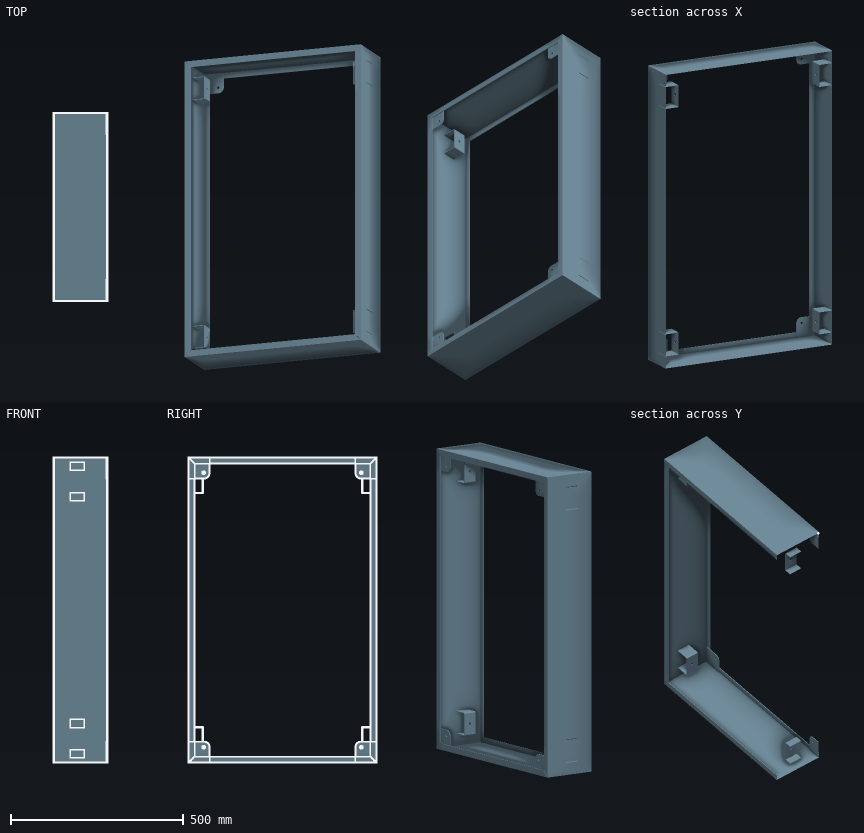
import cadquery as cq

depth = 157.0
width = 548.0
height = 888.0

sheet = 2.0
flange = 19.0
mitre_gap = 0.35

bracket_width = 41.0
bracket_front = 49.0
bracket_drop = 36.0
bracket_length = 68.0
bracket_reach = 43.5
foot_length = 24.0
inner_bend = 1.0
outer_bend = inner_bend + sheet
bracket_hole = 9.0

tab_size = 62.0
tab_corner_radius = 16.0
tab_hole = 7.0
tab_hole_inset = 45.0

half_width = width / 2
half_height = height / 2
inner_width = half_width - sheet
inner_height = half_height - sheet
opening_width = half_width - flange
opening_height = half_height - flange
bracket_back = bracket_front + bracket_width
bracket_middle = half_height - bracket_drop - bracket_length / 2
leg_inside = bracket_length / 2 - sheet
toe = leg_inside + foot_length
flange_fronts = (0, depth - sheet)
signs = (-1, 1)
corners = [(y_sign, z_sign) for y_sign in signs for z_sign in signs]


def block(x_limits, y_limits, z_limits):
    """Box between two limits, in either order, on each axis."""
    limits = [sorted(pair) for pair in (x_limits, y_limits, z_limits)]
    size = [high - low for low, high in limits]
    corner = tuple(low for low, high in limits)
    return cq.Workplane("XY").box(*size, centered=False).translate(corner)


def prism(points, x_start, length):
    """Polygon of (y, z) points extruded along +X."""
    return cq.Workplane("YZ", origin=(x_start, 0, 0)).polyline(points).close().extrude(length)


def at_corner(body, y_sign, z_sign):
    """Copy of a body from the +Y +Z corner, mirrored to the chosen corner."""
    if y_sign < 0:
        body = body.mirror("XZ")
    if z_sign < 0:
        body = body.mirror("XY")
    return body


def make_side_wall():
    """Full-height +Y wall with a mitred flange at its front and rear."""
    wall = block((0, depth), (inner_width, half_width), (-half_height, half_height))
    flange_points = [
        (inner_width, inner_height),
        (opening_width, opening_height),
        (opening_width, -opening_height),
        (inner_width, -inner_height),
    ]
    for x in flange_fronts:
        wall = wall.union(prism(flange_points, x, sheet))
    return wall


def make_top_wall():
    """Top wall between the side walls, with a mitred flange at its front and rear."""
    wall = block((0, depth), (-inner_width, inner_width), (inner_height, half_height))
    flange_points = [
        (-inner_width, inner_height),
        (inner_width, inner_height),
        (opening_width, opening_height),
        (-opening_width, opening_height),
    ]
    for x in flange_fronts:
        wall = wall.union(prism(flange_points, x, sheet))
    return wall


def make_mitre_slits():
    """Narrow diagonal slits that part the flanges at the +Y +Z corner."""
    slit_points = [
        (inner_width, inner_height - mitre_gap),
        (inner_width, inner_height),
        (inner_width - mitre_gap, inner_height),
        (opening_width - mitre_gap, opening_height),
        (opening_width - mitre_gap, opening_height - mitre_gap),
        (opening_width, opening_height - mitre_gap),
    ]
    front_slit, rear_slit = [prism(slit_points, x, sheet) for x in flange_fronts]
    return front_slit.add(rear_slit).combine()


def make_foot_slots():
    """The two slots in the +Y wall for the bracket at the +Y +Z corner."""
    slots = cq.Workplane("XY")
    for direction in signs:
        z_limits = (bracket_middle + direction * leg_inside, bracket_middle + direction * toe)
        slots.add(block((bracket_front, bracket_back), (inner_width, half_width), z_limits))
    return slots.combine()


def make_u_frame():
    """Folded sheet: both side walls and the bottom wall."""
    side = make_side_wall()
    frame = side.union(side.mirror("XZ")).union(make_top_wall().mirror("XY"))
    slits = make_mitre_slits()
    slots = make_foot_slots()
    for y_sign in signs:
        frame = frame.cut(at_corner(slits, y_sign, -1))
    for y_sign, z_sign in corners:
        frame = frame.cut(at_corner(slots, y_sign, z_sign))
    return frame


def round_bends(body, places, radius):
    """Fillet the edges along X that pass through the given (y, z) places, above and below."""
    reach = sheet / 4
    for y, z in places:
        for z_sign in signs:
            low = (bracket_front, y - reach, z_sign * z - reach)
            high = (bracket_back, y + reach, z_sign * z + reach)
            body = body.edges("|X").edges(cq.selectors.BoxSelector(low, high)).fillet(radius)
    return body


def make_bracket():
    """Hat section at the +Y +Z corner: web, two legs and two outward feet."""
    web = half_width - bracket_reach
    web_inside = web + sheet
    leg_outside = leg_inside + sheet
    upper_half = [
        (web, leg_outside),
        (inner_width, leg_outside),
        (inner_width, toe),
        (half_width, toe),
        (half_width, leg_inside),
        (web_inside, leg_inside),
    ]
    lower_half = [(y, -z) for y, z in reversed(upper_half)]
    bracket = prism(upper_half + lower_half, bracket_front, bracket_width)
    bracket = round_bends(bracket, [(web, leg_outside), (half_width, leg_inside)], outer_bend)
    bracket = round_bends(bracket, [(web_inside, leg_inside), (inner_width, leg_outside)], inner_bend)
    hole_start = (bracket_front + bracket_width / 2, web_inside, 0)
    hole = cq.Workplane("XZ", origin=hole_start).circle(bracket_hole / 2).extrude(sheet)
    return bracket.cut(hole).translate((0, 0, bracket_middle))


def make_tab():
    """Plate against the rear flanges at the +Y +Z corner, with one rounded corner and a hole."""
    back = depth - sheet
    front = back - sheet
    y_limits = (half_width - tab_size, inner_width)
    z_limits = (half_height - tab_size, inner_height)
    plate = block((front, back), y_limits, z_limits).edges("|X and <Y and <Z").fillet(tab_corner_radius)
    hole_start = (front, half_width - tab_hole_inset, half_height - tab_hole_inset)
    hole = cq.Workplane("YZ", origin=hole_start).circle(tab_hole / 2).extrude(sheet)
    return plate.cut(hole)


u_frame = make_u_frame()
top_wall = make_top_wall()
brackets = [at_corner(make_bracket(), y_sign, z_sign) for y_sign, z_sign in corners]
tabs = [at_corner(make_tab(), y_sign, z_sign) for y_sign, z_sign in corners]

result = cq.Compound.makeCompound([
    u_frame.solids().val(),
    top_wall.solids().val(),
    *[bracket.solids().val() for bracket in brackets],
    *[tab.solids().val() for tab in tabs],
])